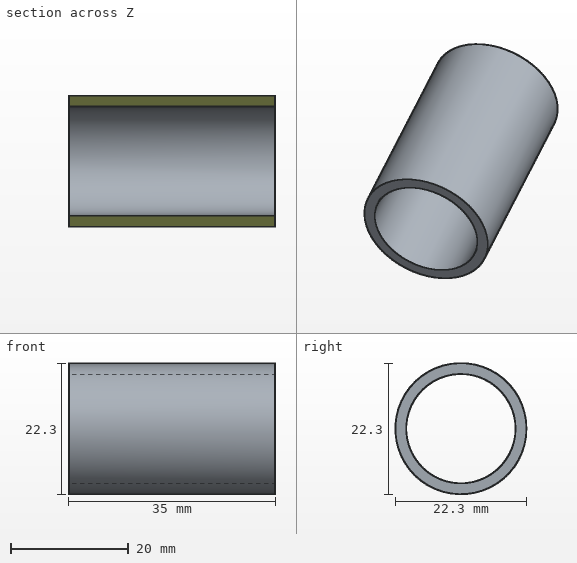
import cadquery as cq

length = 35.0
outer_diameter = 22.3
bore_diameter = 18.5

result = (
    cq.Workplane("YZ", origin=(-length / 2, 0, 0))
    .circle(outer_diameter / 2)
    .circle(bore_diameter / 2)
    .extrude(length)
)